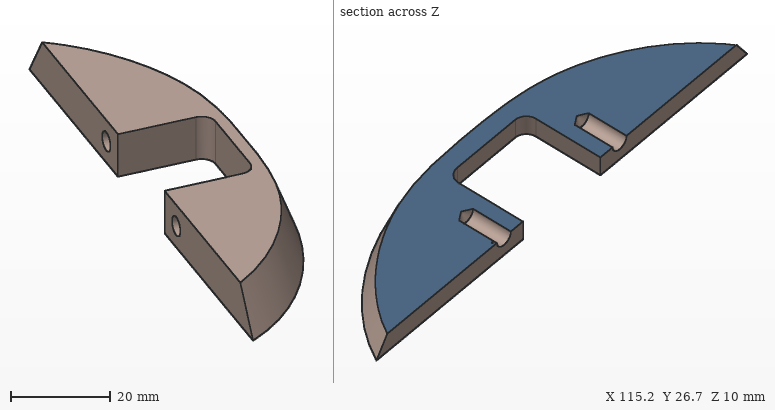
import cadquery as cq
import math

length = 115.2
base_depth = 26.7
height = 10.0
top_end_inset = 6.6
top_back_inset = 3.8

base_shoulders = [(45.0, 14.6), (23.0, 24.8)]
top_shoulders = [(40.3, 11.5), (20.7, 21.2)]

slot_width = 24.0
slot_depth = 20.0
slot_corner_radius = 3.0

hole_diameter = 4.3
hole_spacing = 36.0
hole_depth = 10.0
drill_point_angle = 118.0


def arched_outline(plane, half_length, depth, shoulders):
    """Closed outline with a straight front edge and one smooth, symmetric back curve."""
    right_side = [(half_length, 0)] + shoulders
    left_side = [(-x, y) for x, y in reversed(right_side)]
    back_points = right_side + [(0, depth)] + left_side
    return plane.spline(back_points).close()


def sloped_body():
    """Body whose arched back leans in from the base to the smaller top."""
    base = arched_outline(cq.Workplane("XY"), length / 2, base_depth, base_shoulders)
    base_and_top = arched_outline(
        base.workplane(offset=height),
        length / 2 - top_end_inset,
        base_depth - top_back_inset,
        top_shoulders,
    )
    return base_and_top.loft(ruled=True)


def front_slot():
    """Full-height slot cutter with rounded inner corners."""
    return (
        cq.Workplane("XY")
        .rect(slot_width, 2 * slot_depth)
        .extrude(height)
        .edges("|Z and >Y")
        .fillet(slot_corner_radius)
    )


def drilled_hole(x):
    """Cutter for a hole along +Y that ends in a conical drill point."""
    radius = hole_diameter / 2
    point_length = radius / math.tan(math.radians(drill_point_angle / 2))
    return (
        cq.Workplane("XY")
        .polyline([(0, 0), (radius, 0), (radius, hole_depth), (0, hole_depth + point_length)])
        .close()
        .revolve(360, (0, 0), (0, 1))
        .translate((x, 0, height / 2))
    )


result = sloped_body().cut(front_slot())
for side in (-1, 1):
    result = result.cut(drilled_hole(side * hole_spacing / 2))